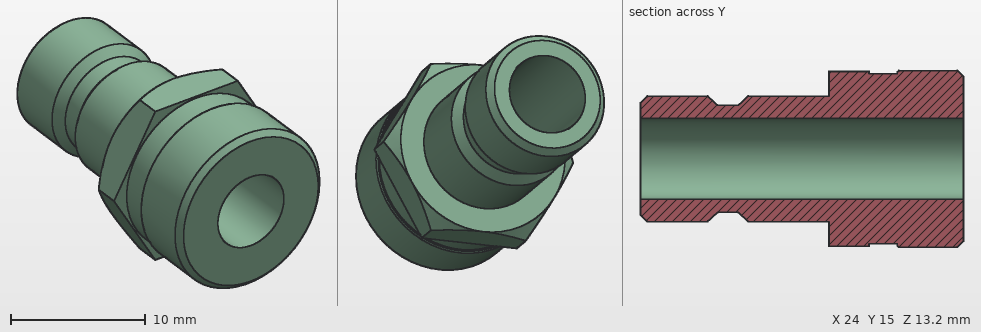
import cadquery as cq
import math

length = 24.0
tip_chamfer = 0.5
groove_start = 5.0
groove_floor_start = 5.74
groove_floor_end = 7.27
groove_end = 8.0
hex_start = 14.0
hex_end = 17.0
collar_start = 19.18

plug_diameter = 9.35
groove_diameter = 8.0
hex_across_flats = 12.98
neck_diameter = 12.7
collar_diameter = 13.15
bore_diameter = 6.0

collar_front_chamfer = 0.12
collar_end_chamfer = 0.45

hex_sides = 6
hex_across_corners = hex_across_flats / math.cos(math.pi / hex_sides)


def make_turned_body():
    """Plug, neck and collar as one solid of revolution about the X axis."""
    plug_radius = plug_diameter / 2
    groove_radius = groove_diameter / 2
    neck_radius = neck_diameter / 2
    collar_radius = collar_diameter / 2
    profile = [
        (0, 0),
        (0, plug_radius - tip_chamfer),
        (tip_chamfer, plug_radius),
        (groove_start, plug_radius),
        (groove_floor_start, groove_radius),
        (groove_floor_end, groove_radius),
        (groove_end, plug_radius),
        (hex_start, plug_radius),
        (hex_start, neck_radius),
        (collar_start - collar_front_chamfer, neck_radius),
        (collar_start - collar_front_chamfer, collar_radius - collar_front_chamfer),
        (collar_start, collar_radius),
        (length - collar_end_chamfer, collar_radius),
        (length, collar_radius - collar_end_chamfer),
        (length, 0),
    ]
    return cq.Workplane("XY").polyline(profile).close().revolve(360, (0, 0), (1, 0))


def make_hexagon():
    """Wrench hexagon, flats facing up and down, front corners turned off at 45 degrees."""
    hex_width = hex_end - hex_start
    prism = (
        cq.Workplane("YZ", origin=(hex_start, 0, 0))
        .polygon(hex_sides, hex_across_corners)
        .extrude(hex_width)
    )
    face_radius = hex_across_flats / 2
    chamfer_cone = (
        cq.Workplane("XY")
        .polyline([
            (hex_start, 0),
            (hex_start, face_radius),
            (hex_end, face_radius + hex_width),
            (hex_end, 0),
        ])
        .close()
        .revolve(360, (0, 0), (1, 0))
    )
    return prism.intersect(chamfer_cone)


bore = cq.Workplane("YZ").circle(bore_diameter / 2).extrude(length)

result = make_turned_body().union(make_hexagon()).cut(bore)